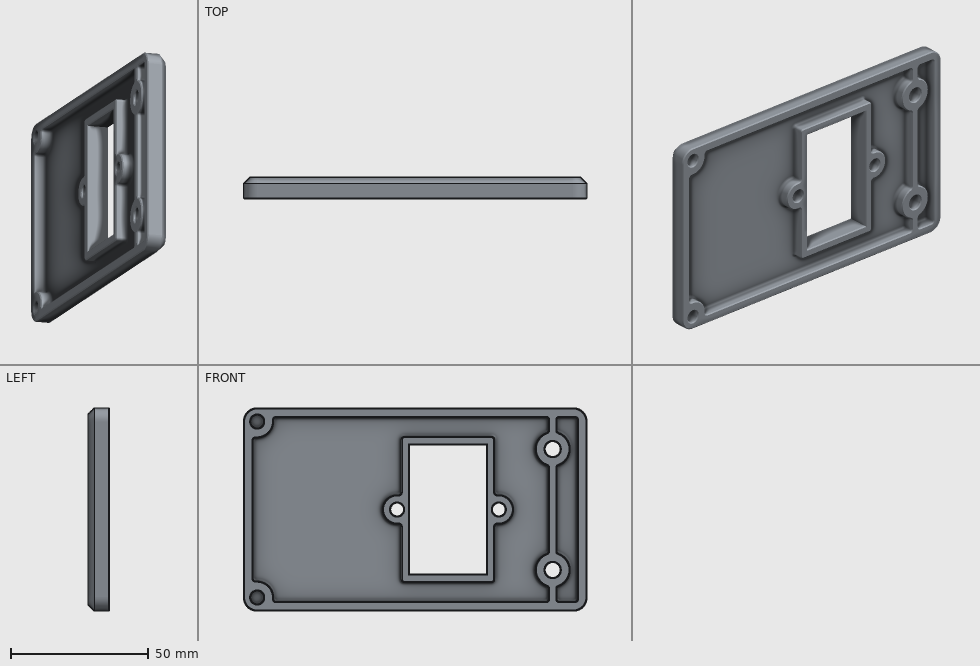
import cadquery as cq

LENGTH = 125.0
THICKNESS = 8.0
HEIGHT = 74.0
CORNER_RADIUS = 5.0
BACK_CHAMFER = 2.4
EDGE_BREAK = 0.38
FRONT_Y = -THICKNESS / 2

RIM_WIDTH = 3.5
FLOOR_THICKNESS = 3.6
RECESS_DEPTH = THICKNESS - FLOOR_THICKNESS
FLOOR_FILLET = 1.0
WALL_CORNER_RADIUS = 1.0

CORNER_HOLE_X = -LENGTH / 2 + CORNER_RADIUS
CORNER_HOLE_Z = HEIGHT / 2 - CORNER_RADIUS
CORNER_HOLE_DIAMETER = 4.7
CORNER_HOLE_DEPTH = RECESS_DEPTH
CORNER_BOSS_RADIUS = 5.95

RIB_X = 50.0
RIB_WIDTH = 3.0
MOUNT_HOLE_Z = 22.0
MOUNT_HOLE_DIAMETER = 5.5
MOUNT_BOSS_RADIUS = 6.35

WINDOW_X = 11.9
WINDOW_WIDTH = 28.0
WINDOW_HEIGHT = 47.0
FRAME_WALL = 3.0
SCREW_SPACING = 37.0
SCREW_HOLE_DIAMETER = 4.7
SCREW_BOSS_RADIUS = 5.35

CORNER_POINTS = [(CORNER_HOLE_X, side * CORNER_HOLE_Z) for side in (-1, 1)]
MOUNT_POINTS = [(RIB_X, side * MOUNT_HOLE_Z) for side in (-1, 1)]
SCREW_POINTS = [(WINDOW_X + side * SCREW_SPACING / 2, 0) for side in (-1, 1)]


def front_sketch():
    """Workplane on the open face, with local axes X and Z; a negative extrusion goes toward +Y."""
    return cq.Workplane("XZ", origin=(0, FRONT_Y, 0))


def block(x, width, height, depth):
    """Rectangular block centred at x, running from the open face toward the back."""
    return front_sketch().center(x, 0).rect(width, height).extrude(-depth)


def cylinders(points, radius, depth):
    """Cylinders at the given (X, Z) points, running from the open face toward the back."""
    return front_sketch().pushPoints(points).circle(radius).extrude(-depth)


def plate():
    body = block(0, LENGTH, HEIGHT, THICKNESS)
    body = body.edges("|Y").fillet(CORNER_RADIUS)
    return body.faces(">Y").edges().chamfer(BACK_CHAMFER)


def recess():
    """Volume removed from the open side, leaving the rim, rib, frame and bosses standing."""
    frame_width = WINDOW_WIDTH + 2 * FRAME_WALL
    frame_height = WINDOW_HEIGHT + 2 * FRAME_WALL
    cavity = block(0, LENGTH - 2 * RIM_WIDTH, HEIGHT - 2 * RIM_WIDTH, RECESS_DEPTH)
    cavity = cavity.cut(block(RIB_X, RIB_WIDTH, HEIGHT, RECESS_DEPTH))
    cavity = cavity.cut(block(WINDOW_X, frame_width, frame_height, RECESS_DEPTH))
    cavity = cavity.cut(cylinders(CORNER_POINTS, CORNER_BOSS_RADIUS, RECESS_DEPTH))
    cavity = cavity.cut(cylinders(MOUNT_POINTS, MOUNT_BOSS_RADIUS, RECESS_DEPTH))
    cavity = cavity.cut(cylinders(SCREW_POINTS, SCREW_BOSS_RADIUS, RECESS_DEPTH))
    cavity = cavity.edges("|Y").fillet(WALL_CORNER_RADIUS)
    return cavity.faces(">Y").edges().fillet(FLOOR_FILLET)


def openings():
    """Window, through holes and blind corner holes."""
    cutter = block(WINDOW_X, WINDOW_WIDTH, WINDOW_HEIGHT, THICKNESS)
    cutter = cutter.union(cylinders(MOUNT_POINTS, MOUNT_HOLE_DIAMETER / 2, THICKNESS))
    cutter = cutter.union(cylinders(SCREW_POINTS, SCREW_HOLE_DIAMETER / 2, THICKNESS))
    return cutter.union(cylinders(CORNER_POINTS, CORNER_HOLE_DIAMETER / 2, CORNER_HOLE_DEPTH))


result = plate().cut(recess()).cut(openings())
result = result.faces("<Y").edges().chamfer(EDGE_BREAK)